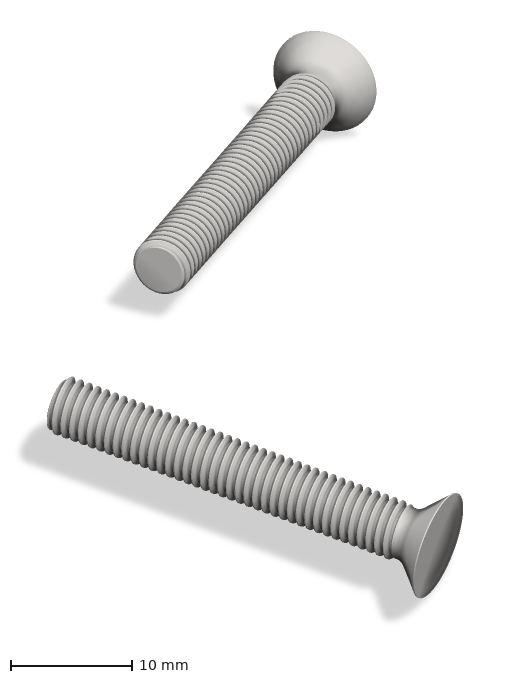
import cadquery as cq
import math

length = 35.0
head_diameter = 9.2
rim_height = 0.1
cone_angle = math.radians(45)
neck_diameter = 4.48
neck_fillet = 1.22
neck_straight = 0.2
tip_diameter = 4.1
tip_chamfer = 0.1
thread_taper = 0.4

major_diameter = 5.0
pitch = 0.16 * major_diameter
flank_angle = math.radians(30)
fundamental_height = pitch / (2 * math.tan(flank_angle))
thread_depth = 5 / 8 * fundamental_height
crest_width = pitch / 8
root_gap = pitch / 4
crest_to_tip = 0.75

head_radius = head_diameter / 2
neck_radius = neck_diameter / 2
tip_radius = tip_diameter / 2
major_radius = major_diameter / 2
minor_radius = major_radius - thread_depth

cone_end_radius = neck_radius + neck_fillet * (1 - math.cos(cone_angle))
cone_length = (head_radius - cone_end_radius) / math.tan(cone_angle)
cone_base = length - rim_height
cone_end = cone_base - cone_length
fillet_end = cone_end - neck_fillet * math.sin(cone_angle)
thread_end = fillet_end - neck_straight


def make_head():
    """Countersunk head, fillet and straight neck, turned about the axis."""
    half_angle = cone_angle / 2
    fillet_middle = (
        neck_radius + neck_fillet * (1 - math.cos(half_angle)),
        fillet_end + neck_fillet * math.sin(half_angle),
    )
    profile = (
        cq.Workplane("XZ")
        .moveTo(0, thread_end)
        .lineTo(neck_radius, thread_end)
        .lineTo(neck_radius, fillet_end)
        .threePointArc(fillet_middle, (cone_end_radius, cone_end))
        .lineTo(head_radius, cone_base)
        .lineTo(head_radius, length)
        .lineTo(0, length)
        .close()
    )
    return profile.revolve(360, (0, 0), (0, 1))


def make_shank():
    """Plain bar with a chamfered tip and tapered ends, from which the thread is cut."""
    profile = (
        cq.Workplane("XZ")
        .lineTo(tip_radius, 0)
        .lineTo(neck_radius, tip_chamfer)
        .lineTo(major_radius, tip_chamfer + thread_taper)
        .lineTo(major_radius, thread_end - thread_taper)
        .lineTo(neck_radius, thread_end)
        .lineTo(0, thread_end)
        .close()
    )
    return profile.revolve(360, (0, 0), (0, 1))


def make_groove():
    """Right-hand helical groove, running past both ends of the shank and out beyond its surface.

    Each turn is a separate set of ruled faces, so that no face wraps over itself.
    """
    clearance = 0.05
    start = crest_to_tip - 2.5 * pitch
    turns = math.ceil((thread_end - start) / pitch) + 1
    outer_radius = major_radius + clearance
    root_half = root_gap / 2
    mouth_half = (pitch - crest_width) / 2 + clearance * math.tan(flank_angle)
    section = [
        (minor_radius, -root_half),
        (outer_radius, -mouth_half),
        (outer_radius, mouth_half),
        (minor_radius, root_half),
    ]

    faces = []
    for turn in range(turns):
        turn_start = start + turn * pitch
        edges = [
            cq.Wire.makeHelix(pitch, pitch, radius).translate(cq.Vector(0, 0, turn_start + offset))
            for radius, offset in section
        ]
        for edge, next_edge in zip(edges, edges[1:] + edges[:1]):
            faces.append(cq.Face.makeRuledSurface(edge, next_edge))

    for end_height in (start, start + turns * pitch):
        corners = [cq.Vector(radius, 0, end_height + offset) for radius, offset in section]
        faces.append(cq.Face.makeFromWires(cq.Wire.makePolygon(corners, close=True)))
    return cq.Workplane(cq.Solid.makeSolid(cq.Shell.makeShell(faces)))


threaded_shank = make_shank().cut(make_groove(), clean=False)
screw = threaded_shank.union(make_head(), clean=False)
result = screw.rotate((0, 0, 0), (1, 0, 0), -90).solids()